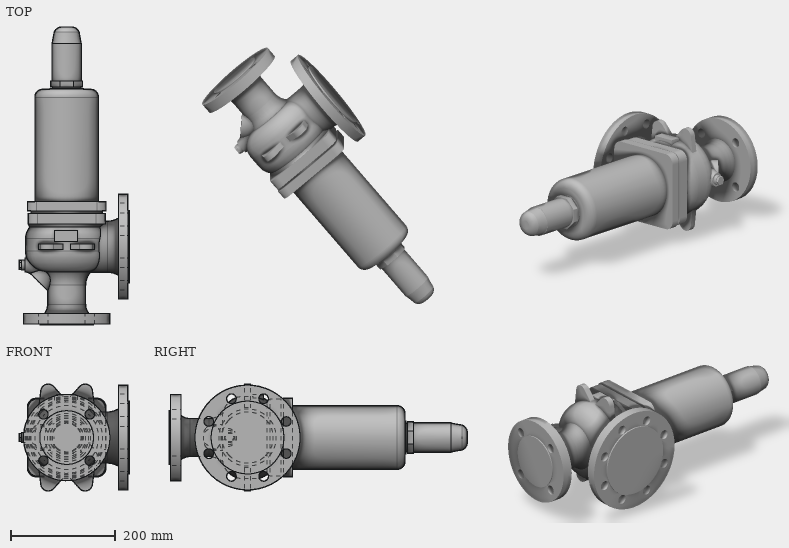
import cadquery as cq
import math


INLET_FLANGE_BACK = 23.0
INLET_NECK_START = 40.0
INLET_NECK_END = 76.0
BOWL_BOTTOM = 102.0
BOWL_BELT_START = 141.0
BOWL_BELT_END = 165.0
BOWL_TOP = 187.0
BODY_FLANGE_BOTTOM = 193.0
BODY_FLANGE_TOP = 213.0
BONNET_FLANGE_BOTTOM = 218.0
BONNET_FLANGE_TOP = 235.5
BONNET_TOP = 450.0
SEAT_RING_TOP = 451.5
NUT_BOTTOM = 454.5
NUT_TOP = 466.0
CAP_SHOULDER = 537.5
CAP_CROWN_START = 558.5
OVERALL_LENGTH = 568.5

INLET_RAISED_FACE = 2.0
INLET_FLANGE_RADIUS = 82.5
INLET_FACE_RADIUS = 51.0
INLET_BOLT_CIRCLE = 125.0
INLET_BOLT_COUNT = 4
INLET_PIPE_RADIUS = 36.5
INLET_FLANGE_ROOT_RADIUS = 42.0
INLET_BOWL_ROOT_RADIUS = 46.0

OUTLET_FACE_X = 119.5
OUTLET_Y = 149.5
OUTLET_RAISED_FACE = 3.0
OUTLET_FLANGE_BACK = 21.0
OUTLET_NECK_START = 41.5
OUTLET_FLANGE_RADIUS = 100.0
OUTLET_FACE_RADIUS = 69.5
OUTLET_BOLT_CIRCLE = 160.0
OUTLET_BOLT_COUNT = 8
OUTLET_PIPE_RADIUS = 49.0
OUTLET_FLANGE_ROOT_RADIUS = 54.5
BOLT_HOLE_DIAMETER = 18.0

BOWL_RADIUS = 78.5
BOWL_TOP_RADIUS = 70.5
BOWL_COLLAR_RADIUS = 73.5
BOWL_CORNER_RADIUS = BOWL_BELT_START - BOWL_BOTTOM
BOWL_FLOOR_RADIUS = BOWL_RADIUS - BOWL_CORNER_RADIUS

BODY_FLANGE_SIDE = 147.5
BONNET_FLANGE_SIDE = 150.0
SQUARE_CORNER_RADIUS = 17.5
GASKET_RADIUS = 68.0

BONNET_RADIUS = 61.0
BONNET_EDGE_RADIUS = 15.5
SEAT_RING_RADIUS = 32.0
SEAT_NECK_RADIUS = 27.5
NUT_SIDES = 8
NUT_ACROSS_FLATS = 61.0
CAP_RADIUS = 28.5
CAP_TAPER_RADIUS = 28.0
CAP_CROWN_RADIUS = 24.0
CAP_TIP_RADIUS = 9.0

LUG_THICKNESS = 11.5
LUG_MID_Y = 149.5
LUG_TIP_X = 35.0
LUG_TIP_RADIUS = 14.0
LUG_SPAN = 204.0
LUG_OUTER_ANGLE = 7.0
LUG_INNER_ANGLE = 42.0
LUG_FLANK_LENGTH = 40.0
LUG_ROOT_Z = 45.5

PAD_LENGTH = 43.0
PAD_WIDTH = 20.5
PAD_X = -1.0
PAD_Y = 170.0
PAD_TOP = 82.0

CORNER_BOSS_X = -52.5
CORNER_BOSS_Y = 82.0
CORNER_BOSS_RADIUS = 24.5
CORNER_BOSS_LENGTH = 51.0

DRAIN_Y = 115.0
DRAIN_FACE_X = -79.5
DRAIN_ROOT_X = -45.5
DRAIN_FACE_RADIUS = 13.0
DRAIN_ROOT_RADIUS = 23.5
PLUG_WASHER_X = -86.0
PLUG_WASHER_RADIUS = 9.5
PLUG_TIP_X = -90.5
PLUG_HEX_SIDES = 6
PLUG_HEX_DIAMETER = 18.0


def disc(radius, start, end):
    """Round disc on the spindle axis between two stations."""
    return cq.Workplane("XZ", origin=(0, start, 0)).circle(radius).extrude(start - end)


def branch_flange(plane, radius, back, face_radius, raised, bolt_circle, bolt_count):
    """Drilled flange with a raised face; the plane's local Y axis runs into the branch."""
    face = cq.Workplane(plane).transformed(rotate=(-90, 0, 0))
    flange = face.workplane(offset=raised).circle(radius).extrude(back - raised)
    flange = flange.union(face.circle(face_radius).extrude(back))
    holes = (
        face.polarArray(bolt_circle / 2, 180 / bolt_count, 360, bolt_count)
        .circle(BOLT_HOLE_DIAMETER / 2)
        .extrude(back)
    )
    return flange.cut(holes)


def flare_arc_middle(wide, wide_at, narrow, narrow_at):
    """Middle point of a concave flare that blends tangentially into the narrow pipe."""
    step = wide - narrow
    run = wide_at - narrow_at
    arc_radius = (step**2 + run**2) / (2 * step)
    middle_step = arc_radius - math.sqrt(arc_radius**2 - (run / 2) ** 2)
    return narrow + middle_step, narrow_at + run / 2


def inlet_pipe():
    flange_flare = (INLET_FLANGE_ROOT_RADIUS, INLET_FLANGE_BACK, INLET_PIPE_RADIUS, INLET_NECK_START)
    bowl_flare = (INLET_BOWL_ROOT_RADIUS, BOWL_BOTTOM, INLET_PIPE_RADIUS, INLET_NECK_END)
    return (
        cq.Workplane("XY")
        .moveTo(0, INLET_FLANGE_BACK)
        .lineTo(*flange_flare[:2])
        .threePointArc(flare_arc_middle(*flange_flare), flange_flare[2:])
        .lineTo(*bowl_flare[2:])
        .threePointArc(flare_arc_middle(*bowl_flare), bowl_flare[:2])
        .lineTo(0, BOWL_BOTTOM)
        .close()
        .revolve(360, (0, 0), (0, 1))
    )


def outlet_pipe(plane):
    flare = (OUTLET_FLANGE_ROOT_RADIUS, OUTLET_FLANGE_BACK, OUTLET_PIPE_RADIUS, OUTLET_NECK_START)
    return (
        cq.Workplane(plane)
        .moveTo(0, OUTLET_FLANGE_BACK)
        .lineTo(*flare[:2])
        .threePointArc(flare_arc_middle(*flare), flare[2:])
        .lineTo(OUTLET_PIPE_RADIUS, OUTLET_FACE_X)
        .lineTo(0, OUTLET_FACE_X)
        .close()
        .revolve(360, (0, 0), (0, 1))
    )


def bowl():
    return (
        cq.Workplane("XY")
        .moveTo(0, BOWL_BOTTOM)
        .lineTo(BOWL_FLOOR_RADIUS, BOWL_BOTTOM)
        .tangentArcPoint((BOWL_RADIUS, BOWL_BELT_START), relative=False)
        .lineTo(BOWL_RADIUS, BOWL_BELT_END)
        .tangentArcPoint((BOWL_TOP_RADIUS, BOWL_TOP), relative=False)
        .lineTo(BOWL_COLLAR_RADIUS, BODY_FLANGE_BOTTOM)
        .lineTo(0, BODY_FLANGE_BOTTOM)
        .close()
        .revolve(360, (0, 0), (0, 1))
    )


def square_flange(side, start, end):
    return (
        cq.Workplane("XZ", origin=(0, start, 0))
        .rect(side, side)
        .extrude(start - end)
        .edges("|Y")
        .fillet(SQUARE_CORNER_RADIUS)
    )


def bonnet():
    cylinder = disc(BONNET_RADIUS, BONNET_FLANGE_TOP, BONNET_TOP)
    return cylinder.faces(">Y").edges().fillet(BONNET_EDGE_RADIUS)


def lock_nut():
    corner_diameter = NUT_ACROSS_FLATS / math.cos(math.pi / NUT_SIDES)
    return (
        cq.Workplane("XZ", origin=(0, NUT_BOTTOM, 0))
        .transformed(rotate=(0, 0, 180 / NUT_SIDES))
        .polygon(NUT_SIDES, corner_diameter)
        .extrude(NUT_BOTTOM - NUT_TOP)
    )


def cap():
    return (
        cq.Workplane("XY")
        .moveTo(0, OVERALL_LENGTH)
        .lineTo(CAP_TIP_RADIUS, OVERALL_LENGTH)
        .tangentArcPoint((CAP_CROWN_RADIUS, CAP_CROWN_START), relative=False)
        .lineTo(CAP_TAPER_RADIUS, CAP_SHOULDER)
        .lineTo(CAP_RADIUS, CAP_SHOULDER)
        .lineTo(CAP_RADIUS, NUT_TOP)
        .lineTo(0, NUT_TOP)
        .close()
        .revolve(360, (0, 0), (0, 1))
    )


def upper_right_lug():
    """Flat lug whose straight flanks run tangentially into its rounded tip."""
    tip_z = LUG_SPAN / 2 - LUG_TIP_RADIUS
    outer = math.radians(LUG_OUTER_ANGLE)
    inner = math.radians(180 - LUG_INNER_ANGLE)

    def on_tip(angle):
        return LUG_TIP_X + LUG_TIP_RADIUS * math.cos(angle), tip_z + LUG_TIP_RADIUS * math.sin(angle)

    outer_x, outer_z = on_tip(outer)
    inner_x, inner_z = on_tip(inner)
    outer_root = (
        outer_x + LUG_FLANK_LENGTH * math.sin(outer),
        outer_z - LUG_FLANK_LENGTH * math.cos(outer),
    )
    inner_root = (
        inner_x - LUG_FLANK_LENGTH * math.sin(inner),
        inner_z + LUG_FLANK_LENGTH * math.cos(inner),
    )
    return (
        cq.Workplane("XZ", origin=(0, LUG_MID_Y, 0))
        .moveTo(*outer_root)
        .lineTo(outer_x, outer_z)
        .threePointArc(on_tip((outer + inner) / 2), (inner_x, inner_z))
        .lineTo(*inner_root)
        .lineTo(inner_root[0], LUG_ROOT_Z)
        .close()
        .extrude(LUG_THICKNESS / 2, both=True)
    )


def lugs():
    right_pair = upper_right_lug()
    right_pair = right_pair.union(right_pair.mirror("XY"))
    return right_pair.union(right_pair.mirror("YZ"))


def nameplate_pad():
    return (
        cq.Workplane("XY", origin=(PAD_X, PAD_Y, 0))
        .rect(PAD_LENGTH, PAD_WIDTH)
        .extrude(PAD_TOP)
    )


def corner_boss():
    inward = cq.Plane(origin=(CORNER_BOSS_X, CORNER_BOSS_Y, 0), xDir=(0, 0, 1), normal=(1, 1, 0))
    return cq.Workplane(inward).circle(CORNER_BOSS_RADIUS).extrude(CORNER_BOSS_LENGTH)


def drain():
    boss = (
        cq.Workplane("YZ", origin=(DRAIN_FACE_X, DRAIN_Y, 0))
        .circle(DRAIN_FACE_RADIUS)
        .workplane(offset=DRAIN_ROOT_X - DRAIN_FACE_X)
        .circle(DRAIN_ROOT_RADIUS)
        .loft()
    )
    plug_face = cq.Workplane("YZ", origin=(PLUG_WASHER_X, DRAIN_Y, 0))
    washer = plug_face.circle(PLUG_WASHER_RADIUS).extrude(DRAIN_FACE_X - PLUG_WASHER_X)
    head = plug_face.polygon(PLUG_HEX_SIDES, PLUG_HEX_DIAMETER).extrude(PLUG_TIP_X - PLUG_WASHER_X)
    return boss.union(washer).union(head)


inlet_plane = cq.Plane.XY()
outlet_plane = cq.Plane(origin=(OUTLET_FACE_X, OUTLET_Y, 0), xDir=(0, 1, 0), normal=(0, 0, 1))

inlet_flange = branch_flange(
    inlet_plane,
    INLET_FLANGE_RADIUS,
    INLET_FLANGE_BACK,
    INLET_FACE_RADIUS,
    INLET_RAISED_FACE,
    INLET_BOLT_CIRCLE,
    INLET_BOLT_COUNT,
)
outlet_flange = branch_flange(
    outlet_plane,
    OUTLET_FLANGE_RADIUS,
    OUTLET_FLANGE_BACK,
    OUTLET_FACE_RADIUS,
    OUTLET_RAISED_FACE,
    OUTLET_BOLT_CIRCLE,
    OUTLET_BOLT_COUNT,
)

result = bowl()
for feature in (
    inlet_pipe(),
    inlet_flange,
    outlet_pipe(outlet_plane),
    outlet_flange,
    lugs(),
    nameplate_pad(),
    corner_boss(),
    drain(),
    square_flange(BODY_FLANGE_SIDE, BODY_FLANGE_BOTTOM, BODY_FLANGE_TOP),
    disc(GASKET_RADIUS, BODY_FLANGE_TOP, BONNET_FLANGE_BOTTOM),
    square_flange(BONNET_FLANGE_SIDE, BONNET_FLANGE_BOTTOM, BONNET_FLANGE_TOP),
    bonnet(),
    disc(SEAT_RING_RADIUS, BONNET_TOP, SEAT_RING_TOP),
    disc(SEAT_NECK_RADIUS, SEAT_RING_TOP, NUT_BOTTOM),
    lock_nut(),
    cap(),
):
    result = result.union(feature)